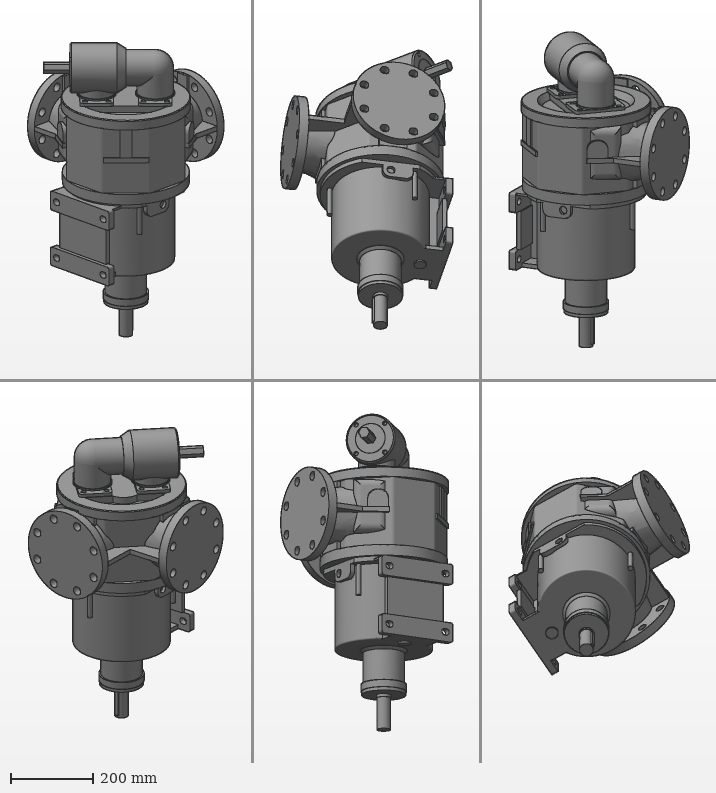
import cadquery as cq
import math


SHAFT_R = 17.0
SHAFT_COLLAR_R = 18.0
SHAFT_COLLAR_H = 7.5
KEY_BOTTOM = 7.0
KEY_TOP = 76
KEY_WIDTH = 9.0
KEY_REACH = 20.5
SEAL_BOTTOM = 87.0
SEAL_R = 55.5
SEAL_H = 26.5
SEAL_LIP_H = 8.0
SEAL_LIP_CHAMFER = 1.5
NECK_R = 51.0
NECK_FLARE = 7.0
NECK_FLARE_H = 7.5

DRUM_BOTTOM = 198.5
DRUM_R = 119.0
DRUM_EDGE_FILLET = 4.0
PEDESTAL_FLANGE_BOTTOM = 388.5
PEDESTAL_FLANGE_R = 147.0
PEDESTAL_HALF_WIDTH = 128.0
EAR_BOTTOM = 356.0
EAR_Y_MIN = -55.5
EAR_Y_MAX = 20.5
EAR_CORNER_R = 18.0
EAR_THICKNESS = 11.5
EAR_HOLE_R = 10.0
EAR_HOLE_Z = 376.0
STUD_COUNT = 3
STUD_CIRCLE_R = 126.0
STUD_R = 6.0
STUD_BOTTOM = 312

FOOT_FACE_Y = -160
FOOT_BACK_Y = -142.0
FOOT_LENGTH = 201.5
FOOT_CORNER_R = 6.0
UPPER_FOOT_Z = (344.0, 394.0)
LOWER_FOOT_Z = (198.5, 247.0)
FOOT_SLOT_SPACING = 160
FOOT_SLOT_LENGTH = 20.0
FOOT_SLOT_WIDTH = 16.0
PANEL_WIDTH = 160
PANEL_FACE_Y = -149.0
PANEL_BACK_Y = -137.5
WALL_WIDTH = 30.5
LOWER_SHELF_WIDTH = 129
LOWER_SHELF_T = 11.0
UPPER_SHELF_WIDTH = 190
DRAIN_BOSS_R = 15
DRAIN_BOSS_Y = -99
DRAIN_BOSS_H = 4.5

CASING_BOTTOM = 401.0
LOWER_FLANGE_TOP = 427.0
LOWER_FLANGE_R = 155.0
COVER_BOTTOM = 597.5
COVER_TOP = 623.0
COVER_R = 158.0
COVER_CHAMFER = 2.0
BARREL_FLAT = 144.5
BARREL_SIDES = 8
BARREL_EDGE_FILLET = 11.5
BACK_RIB_LENGTH = 111.0
BACK_RIB_REACH = 149.0
BACK_STRIP_WIDTH = 29.0
BACK_STRIP_REACH = 148.0

RECESS_TOP_R = 118.5
RECESS_FLOOR_R = 108.0
RECESS_DEPTH = 17.5
BRIDGE_Y_MIN = -61
BRIDGE_Y_MAX = 67.0
BRIDGE_BOSS_R = 43.0
BRIDGE_BOSS_OFFSET = 35.0

PORT_Z = 515.0
PORT_FACE = 225.0
PORT_FLANGE_T = 23.5
PORT_FLANGE_R = 114
PORT_BOLT_CIRCLE_R = 93.5
PORT_BOLT_COUNT = 8
PORT_BOLT_R = 11.0
PORT_NECK_R = 63.0
NECK_INNER_X = -129
NECK_INNER_Y_MIN = -99
NECK_INNER_Y_MAX = 76
NECK_INNER_HEIGHT = 144.5
NECK_DEPTH = 53
PORT_BASE_X = -154.0
PORT_BASE_WIDTH = 68.5
WEB_T = 12.0
WEB_HALF_WIDTH = 113.0
WEB_SHOULDER_X = -129
WEB_TIP = (-72.0, -146.0)
WEB_EDGE_ANGLE = 240
LOBE_REACH = 153.5
LOBE_START = -76
LOBE_END = 7.0
LOBE_Z = (460.0, 594.5)
LOBE_FILLET = 19.0
PAD_REACH = 161.0
PAD_MIDDLE = -17.0
PAD_WIDTH = 51.0
PAD_TOP = 565.0
PAD_CORNER_R = 23
PORT_LUG_WIDTH = 33.5
PORT_LUG_T = 7.0

VALVE_ANGLE = 45
VALVE_Z = 699.0
VALVE_R = 61.5
VALVE_FRONT = -136.0
VALVE_BACK = -22.0
VALVE_CHAMFER = 4.0
CONE_END = 0
CONE_END_R = 48.0
PIPE_R = 45.0
LEG_OFFSET = 71.5
LEG_COLLAR_R = 48.0
LEG_COLLAR_H = 4.0
PLATE_T = 8.0
PLATE_LENGTH = 82.0
PLATE_WIDTH = 129
PLATE_CORNER_R = 9.0
PLATE_BOLT_ALONG = 57.0
PLATE_BOLT_ACROSS = 99.5
PLATE_BOLT_R = 6.0
STEM_SIDES = 6
STEM_CORNER_DIAMETER = 28.0
STEM_END = -201.0
VALVE_PILOT_R = 37.0
VALVE_PILOT_H = 1.0
VALVE_BOLT_SPACING = 72.0
VALVE_BOLT_R = 5.0
VALVE_BOLT_DEPTH = 11.5


def cylinder(radius, bottom, top):
    """Vertical cylinder on the Z axis."""
    return cq.Workplane("XY").workplane(offset=bottom).circle(radius).extrude(top - bottom)


def block(x_range, y_range, z_range):
    """Box given by its limits along each axis."""
    size = [limits[1] - limits[0] for limits in (x_range, y_range, z_range)]
    corner = (x_range[0], y_range[0], z_range[0])
    return cq.Workplane("XY").box(*size, centered=False).translate(corner)


def make_shaft_end():
    seal_top = SEAL_BOTTOM + SEAL_H
    shaft = cylinder(SHAFT_R, 0, SEAL_BOTTOM)
    collar = cylinder(SHAFT_COLLAR_R, SEAL_BOTTOM - SHAFT_COLLAR_H, SEAL_BOTTOM)
    key = block((-KEY_WIDTH / 2, KEY_WIDTH / 2), (0, KEY_REACH), (KEY_BOTTOM, KEY_TOP))
    seal = cylinder(SEAL_R, SEAL_BOTTOM + SEAL_LIP_H, seal_top)
    lip = cylinder(SEAL_R - SEAL_LIP_CHAMFER, SEAL_BOTTOM, SEAL_BOTTOM + SEAL_LIP_H)
    neck = cylinder(NECK_R, seal_top, DRUM_BOTTOM)
    flare = (
        cylinder(NECK_R + NECK_FLARE, DRUM_BOTTOM - NECK_FLARE_H, DRUM_BOTTOM)
        .faces("<Z").chamfer(NECK_FLARE)
    )
    return shaft.union(collar).union(key).union(seal).union(lip).union(neck).union(flare)


def make_ear():
    """Lug with a lifting hole, hanging below the flat on the -X side of the pedestal flange."""
    x_range = (-PEDESTAL_HALF_WIDTH, EAR_THICKNESS - PEDESTAL_HALF_WIDTH)
    ear = block(x_range, (EAR_Y_MIN, EAR_Y_MAX), (EAR_BOTTOM, CASING_BOTTOM))
    ear = ear.edges("|X and <Z").fillet(EAR_CORNER_R)
    hole = (
        cq.Workplane("YZ", origin=(-PEDESTAL_HALF_WIDTH, 0, EAR_HOLE_Z))
        .circle(EAR_HOLE_R).extrude(EAR_THICKNESS)
    )
    return ear.cut(hole)


def make_foot(z_range):
    half_length = FOOT_LENGTH / 2
    foot = block((-half_length, half_length), (FOOT_FACE_Y, FOOT_BACK_Y), z_range)
    foot = foot.edges("|Y").fillet(FOOT_CORNER_R)
    slots = (
        cq.Workplane("XZ", origin=(0, FOOT_BACK_Y, sum(z_range) / 2))
        .rarray(FOOT_SLOT_SPACING, 7.5, 2, 1)
        .slot2D(FOOT_SLOT_LENGTH, FOOT_SLOT_WIDTH)
        .extrude(FOOT_BACK_Y - FOOT_FACE_Y)
    )
    return foot.cut(slots)


def make_pedestal():
    drum = cylinder(DRUM_R, DRUM_BOTTOM, CASING_BOTTOM).faces("<Z").edges().fillet(DRUM_EDGE_FILLET)
    flange = cylinder(PEDESTAL_FLANGE_R, PEDESTAL_FLANGE_BOTTOM, CASING_BOTTOM)
    flange_limits = block(
        (-PEDESTAL_HALF_WIDTH, PEDESTAL_HALF_WIDTH),
        (-PEDESTAL_FLANGE_R, PEDESTAL_FLANGE_R),
        (PEDESTAL_FLANGE_BOTTOM, CASING_BOTTOM),
    )
    pedestal = drum.union(flange.intersect(flange_limits))

    ear = make_ear()
    pedestal = pedestal.union(ear).union(ear.mirror("YZ"))

    half_wall = WALL_WIDTH / 2
    half_lower = LOWER_SHELF_WIDTH / 2
    half_upper = UPPER_SHELF_WIDTH / 2
    half_panel = PANEL_WIDTH / 2
    wall = block((-half_wall, half_wall), (FOOT_BACK_Y, 0), (DRUM_BOTTOM, CASING_BOTTOM))
    shelf_y = (FOOT_BACK_Y, -DRUM_R / 2)
    lower_z = (DRUM_BOTTOM, DRUM_BOTTOM + LOWER_SHELF_T)
    lower_shelf = block((-half_lower, half_lower), shelf_y, lower_z)
    upper_z = (PEDESTAL_FLANGE_BOTTOM, UPPER_FOOT_Z[1])
    upper_shelf = block((-half_upper, half_upper), shelf_y, upper_z)
    panel_z = (LOWER_FOOT_Z[1], UPPER_FOOT_Z[0])
    panel = block((-half_panel, half_panel), (PANEL_FACE_Y, PANEL_BACK_Y), panel_z)
    pedestal = pedestal.union(wall).union(lower_shelf).union(upper_shelf).union(panel)
    for z_range in (UPPER_FOOT_Z, LOWER_FOOT_Z):
        pedestal = pedestal.union(make_foot(z_range))

    studs = (
        cq.Workplane("XY", origin=(0, 0, STUD_BOTTOM))
        .polarArray(STUD_CIRCLE_R, 90, 360, STUD_COUNT)
        .circle(STUD_R).extrude(CASING_BOTTOM - STUD_BOTTOM)
    )
    drain_boss = cylinder(DRAIN_BOSS_R, DRUM_BOTTOM - DRAIN_BOSS_H, DRUM_BOTTOM + DRAIN_BOSS_H)
    return pedestal.union(studs).union(drain_boss.translate((0, DRAIN_BOSS_Y, 0)))


def make_recess():
    """Two shallow crescents in the cover, separated by the diagonal bridge and its round boss."""
    floor_z = COVER_TOP - RECESS_DEPTH
    recess = (
        cq.Workplane("XY", origin=(0, 0, floor_z))
        .circle(RECESS_FLOOR_R)
        .workplane(offset=RECESS_DEPTH)
        .circle(RECESS_TOP_R)
        .loft()
    )
    bridge = block(
        (-RECESS_TOP_R, RECESS_TOP_R),
        (BRIDGE_Y_MIN, BRIDGE_Y_MAX),
        (floor_z, COVER_TOP),
    )
    boss = cylinder(BRIDGE_BOSS_R, floor_z, COVER_TOP).translate((0, BRIDGE_BOSS_OFFSET, 0))
    return recess.cut(bridge.union(boss).rotate((0, 0, 0), (0, 0, 1), VALVE_ANGLE))


def make_barrel():
    corner_diameter = 2 * BARREL_FLAT / math.cos(math.pi / BARREL_SIDES)
    barrel = (
        cq.Workplane("XY", origin=(0, 0, LOWER_FLANGE_TOP))
        .polygon(BARREL_SIDES, corner_diameter)
        .extrude(COVER_BOTTOM - LOWER_FLANGE_TOP)
        .rotate((0, 0, 0), (0, 0, 1), 180 / BARREL_SIDES)
        .edges("|Z").fillet(BARREL_EDGE_FILLET)
    )

    half_rib = BACK_RIB_LENGTH / 2
    half_strip = BACK_STRIP_WIDTH / 2
    rib = block((0, BACK_RIB_REACH), (-half_rib, half_rib), (PORT_Z - WEB_T / 2, PORT_Z + WEB_T / 2))
    strip = block((0, BACK_STRIP_REACH), (-half_strip, half_strip), (PORT_Z, COVER_BOTTOM))
    back_ribs = rib.union(strip).rotate((0, 0, 0), (0, 0, 1), -VALVE_ANGLE)
    return barrel.union(back_ribs)


def make_lobe():
    """Swollen side of the port passage with an arched pad, both parallel to the slanted web edge."""
    lobe = block((0, LOBE_REACH), (LOBE_START, LOBE_END), LOBE_Z)
    lobe = lobe.faces(">X").edges().fillet(LOBE_FILLET)

    half_pad = PAD_WIDTH / 2
    pad_y = (PAD_MIDDLE - half_pad, PAD_MIDDLE + half_pad)
    pad = block((0, PAD_REACH), pad_y, (PORT_Z - WEB_T / 2, PAD_TOP))
    pad = pad.edges("|X and >Z").fillet(PAD_CORNER_R)
    return lobe.union(pad).rotate((0, 0, 0), (0, 0, 1), WEB_EDGE_ANGLE)


def make_port():
    """Blank-faced port on the -X side: flange, flared neck with a lobe, level web and top lug."""
    flange_back = PORT_FLANGE_T - PORT_FACE
    flange = (
        cq.Workplane("YZ", origin=(-PORT_FACE, 0, PORT_Z))
        .circle(PORT_FLANGE_R).extrude(PORT_FLANGE_T)
    )
    bolt_holes = (
        cq.Workplane("YZ", origin=(-PORT_FACE, 0, PORT_Z))
        .polarArray(PORT_BOLT_CIRCLE_R, 180 / PORT_BOLT_COUNT, 360, PORT_BOLT_COUNT)
        .circle(PORT_BOLT_R).extrude(PORT_FLANGE_T)
    )

    neck_inner_middle = (NECK_INNER_Y_MIN + NECK_INNER_Y_MAX) / 2
    neck = (
        cq.Workplane("YZ", origin=(flange_back, 0, PORT_Z))
        .circle(PORT_NECK_R)
        .workplane(offset=NECK_INNER_X - flange_back)
        .center(neck_inner_middle, 0)
        .slot2D(NECK_INNER_Y_MAX - NECK_INNER_Y_MIN, NECK_INNER_HEIGHT)
        .loft()
        .faces(">X").wires().toPending().workplane().extrude(NECK_DEPTH)
    )

    web = (
        cq.Workplane("XY", origin=(0, 0, PORT_Z - WEB_T / 2))
        .polyline([
            (flange_back, WEB_HALF_WIDTH),
            (0, WEB_HALF_WIDTH),
            WEB_TIP,
            (WEB_SHOULDER_X, -WEB_HALF_WIDTH),
            (flange_back, -WEB_HALF_WIDTH),
        ])
        .close().extrude(WEB_T)
    )

    half_lug = PORT_LUG_WIDTH / 2
    lug_top = PORT_Z + math.sqrt(PORT_FLANGE_R**2 - half_lug**2)
    lug = block((flange_back, flange_back + PORT_LUG_T), (-half_lug, half_lug), (PORT_Z, lug_top))

    half_base = PORT_BASE_WIDTH / 2
    base = block((PORT_BASE_X, 0), (-half_base, half_base), (LOWER_FLANGE_TOP, COVER_BOTTOM))
    port = flange.cut(bolt_holes).union(neck).union(base).union(make_lobe())
    return port.union(web).union(lug)


def make_pump():
    lower_flange = cylinder(LOWER_FLANGE_R, CASING_BOTTOM, LOWER_FLANGE_TOP)
    cover = cylinder(COVER_R, COVER_BOTTOM, COVER_TOP).faces(">Z").edges().chamfer(COVER_CHAMFER)
    side_port = make_port()
    rear_port = side_port.mirror("XZ").rotate((0, 0, 0), (0, 0, 1), -90)
    casing = lower_flange.union(make_barrel()).union(side_port).union(rear_port)
    casing = casing.union(cover).cut(make_recess())
    return casing.union(make_pedestal()).union(make_shaft_end())


def valve_cylinder(radius, start, end):
    """Level cylinder on the valve axis, before the valve is turned onto the diagonal."""
    return cq.Workplane("YZ", origin=(start, 0, VALVE_Z)).circle(radius).extrude(end - start)


def make_leg(offset):
    """Mounting plate with four bolt holes, and the pipe rising from it to the valve axis."""
    plate = (
        cq.Workplane("XY", origin=(offset, 0, COVER_TOP))
        .rect(PLATE_LENGTH, PLATE_WIDTH).extrude(PLATE_T)
        .edges("|Z").fillet(PLATE_CORNER_R)
        .faces(">Z").workplane()
        .rarray(PLATE_BOLT_ALONG, PLATE_BOLT_ACROSS, 2, 2)
        .hole(2 * PLATE_BOLT_R)
    )
    plate_top = COVER_TOP + PLATE_T
    collar = cylinder(LEG_COLLAR_R, plate_top, plate_top + LEG_COLLAR_H).translate((offset, 0, 0))
    pipe = cylinder(PIPE_R, plate_top, VALVE_Z).translate((offset, 0, 0))
    return plate.union(collar).union(pipe)


def make_valve():
    body = valve_cylinder(VALVE_R, VALVE_FRONT, VALVE_BACK).faces("<X").chamfer(VALVE_CHAMFER)
    cone = (
        cq.Workplane("YZ", origin=(VALVE_BACK, 0, VALVE_Z))
        .circle(VALVE_R)
        .workplane(offset=CONE_END - VALVE_BACK)
        .circle(CONE_END_R)
        .loft()
    )
    pipe = valve_cylinder(PIPE_R, CONE_END, LEG_OFFSET)
    elbow = cq.Workplane("XY", origin=(LEG_OFFSET, 0, VALVE_Z)).sphere(PIPE_R)
    valve = make_leg(LEG_OFFSET).union(pipe).union(elbow)
    valve = valve.union(make_leg(-LEG_OFFSET)).union(body).union(cone)

    bolt_holes = (
        cq.Workplane("YZ", origin=(VALVE_FRONT, 0, VALVE_Z))
        .rarray(VALVE_BOLT_SPACING, VALVE_BOLT_SPACING, 2, 2)
        .circle(VALVE_BOLT_R).extrude(VALVE_BOLT_DEPTH)
    )
    pilot = valve_cylinder(VALVE_PILOT_R, VALVE_FRONT - VALVE_PILOT_H, VALVE_FRONT)
    stem = (
        cq.Workplane("YZ", origin=(STEM_END, 0, VALVE_Z))
        .polygon(STEM_SIDES, STEM_CORNER_DIAMETER).extrude(VALVE_FRONT - STEM_END)
    )
    valve = valve.cut(bolt_holes).union(pilot).union(stem)
    return valve.rotate((0, 0, 0), (0, 0, 1), VALVE_ANGLE)


pump = make_pump()
valve = make_valve()
result = cq.Compound.makeCompound([pump.solids().val(), valve.solids().val()])